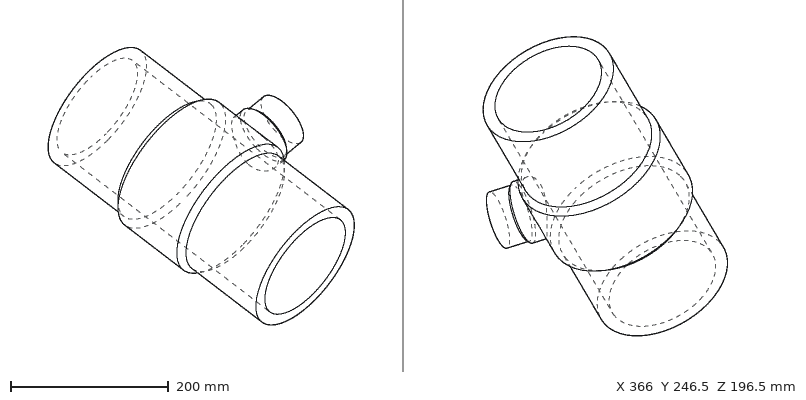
import cadquery as cq

pipe_length = 366.0
pipe_diameter = 180.0
bore_diameter = 147.0

band_diameter = 196.5
band_length = 120.0
bevel = (band_diameter - pipe_diameter) / 2

total_depth = 246.5
branch_end = total_depth - band_diameter / 2
collar_diameter = 82.5
collar_end = 114.0
spigot_diameter = 75.0
cone_length = 3.3


def make_run():
    """Solid pipe with its bevelled band."""
    pipe = cq.Workplane("YZ").circle(pipe_diameter / 2).extrude(pipe_length / 2, both=True)
    band = (
        cq.Workplane("YZ")
        .circle(band_diameter / 2)
        .extrude(band_length / 2, both=True)
        .faces("<X or >X")
        .chamfer(bevel)
    )
    return pipe.union(band)


def make_branch():
    """Solid branch revolved about the Y axis, starting at the pipe centre."""
    profile = [
        (0, 0),
        (collar_diameter / 2, 0),
        (collar_diameter / 2, collar_end),
        (spigot_diameter / 2, collar_end + cone_length),
        (spigot_diameter / 2, branch_end),
        (0, branch_end),
    ]
    return cq.Workplane("XY").polyline(profile).close().revolve(360, (0, 0, 0), (0, 1, 0))


bore = cq.Workplane("YZ").circle(bore_diameter / 2).extrude(pipe_length / 2, both=True)
result = make_run().union(make_branch()).cut(bore)